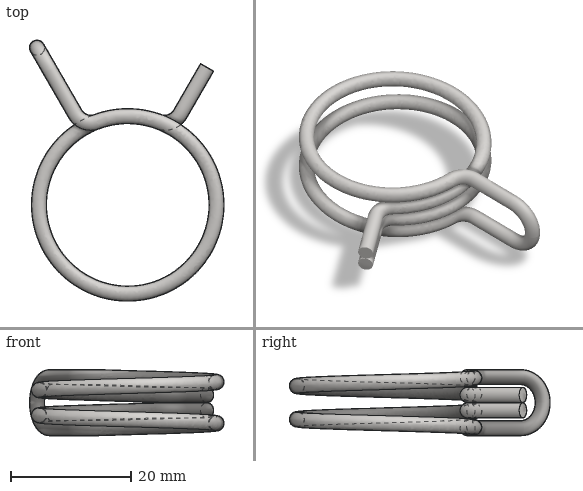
import cadquery as cq
import math


overall_length = 43.4
overall_height = 11.0
wire_diameter = 2.5
coil_radius = 14.75
bend_radius = 3.0
leg_angle = 30.0
end_leg_radius = 26.38
end_leg_gap = 0.05
coil_point_count = 33

wire_radius = wire_diameter / 2
grip_height = overall_height / 2 - wire_radius
end_height = (wire_diameter + end_leg_gap) / 2
grip_tip_radius = (overall_length - coil_radius - wire_diameter) / math.cos(math.radians(leg_angle))
grip_leg_radius = grip_tip_radius - grip_height

bend_centre_radius = coil_radius + bend_radius
bend_sweep = math.degrees(math.asin(bend_radius / bend_centre_radius))
bend_leg_radius = math.sqrt(bend_centre_radius**2 - bend_radius**2)

grip_angle = 90 + leg_angle
end_angle = 90 - leg_angle
coil_start_angle = grip_angle - bend_sweep
coil_end_angle = end_angle + bend_sweep - 360


def polar(radius, angle, height):
    """Point at a distance from the coil axis, an angle from +X and a height."""
    angle = math.radians(angle)
    return cq.Vector(radius * math.cos(angle), radius * math.sin(angle), height)


def bend_arc(start, finish, centre):
    """Arc of the bend radius from start to finish."""
    to_middle = ((start + finish) * 0.5 - centre).normalized()
    return cq.Edge.makeThreePointArc(start, centre + to_middle * bend_radius, finish)


def grip_quarter_arc():
    """Upper quarter of the U, from its tip on the XY plane to the straight leg."""
    middle_reach = grip_height * math.sqrt(0.5)
    return cq.Edge.makeThreePointArc(
        polar(grip_tip_radius, grip_angle, 0),
        polar(grip_leg_radius + middle_reach, grip_angle, middle_reach),
        polar(grip_leg_radius, grip_angle, grip_height),
    )


def coil_curve():
    """Clockwise helical turn falling from the grip height to the end height, level at both ends."""
    points = []
    swept_angles = []
    for index in range(coil_point_count):
        fraction = index / (coil_point_count - 1)
        swept_angle = fraction * (coil_start_angle - coil_end_angle)
        height = grip_height + fraction * (end_height - grip_height)
        points.append(polar(coil_radius, coil_start_angle - swept_angle, height))
        swept_angles.append(math.radians(swept_angle))
    end_tangents = [
        polar(coil_radius, coil_start_angle - 90, 0),
        polar(coil_radius, coil_end_angle - 90, 0),
    ]
    return cq.Edge.makeSpline(points, tangents=end_tangents, parameters=swept_angles, scale=False)


def straight_leg(angle, inner_radius, outer_radius, height):
    return cq.Edge.makeLine(polar(inner_radius, angle, height), polar(outer_radius, angle, height))


def upper_half():
    """Upper wire, from the tip of the grip to its free end."""
    centreline = cq.Wire.assembleEdges([
        grip_quarter_arc(),
        straight_leg(grip_angle, grip_leg_radius, bend_leg_radius, grip_height),
        bend_arc(
            polar(bend_leg_radius, grip_angle, grip_height),
            polar(coil_radius, coil_start_angle, grip_height),
            polar(bend_centre_radius, coil_start_angle, grip_height),
        ),
        coil_curve(),
        bend_arc(
            polar(coil_radius, coil_end_angle, end_height),
            polar(bend_leg_radius, end_angle, end_height),
            polar(bend_centre_radius, coil_end_angle, end_height),
        ),
        straight_leg(end_angle, bend_leg_radius, end_leg_radius, end_height),
    ])
    tip = polar(grip_tip_radius, grip_angle, 0)
    return cq.Workplane("XY", origin=tip.toTuple()).circle(wire_radius).sweep(cq.Workplane(centreline))


upper_wire = upper_half()
result = upper_wire.union(upper_wire.mirror("XY"))